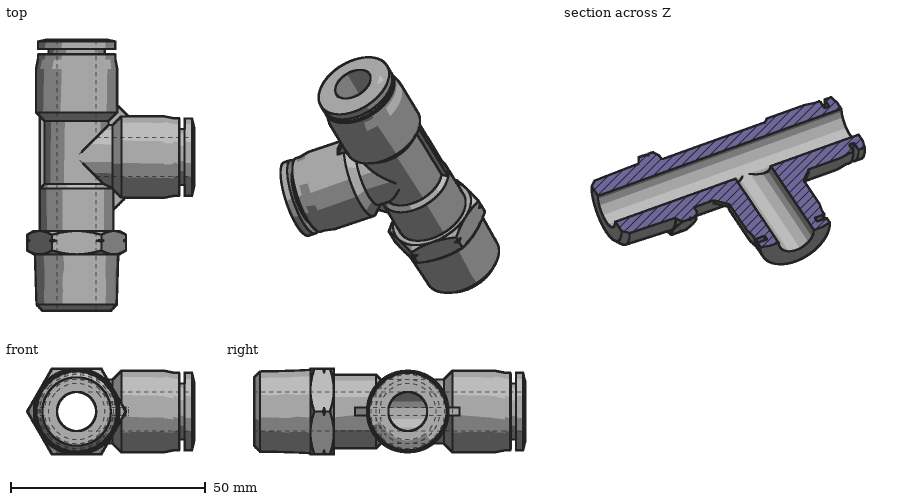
import cadquery as cq
import math


BORE_RADIUS = 5.0

NECK_RADIUS = 8.25
SOCKET_RADIUS = 10.5
SOCKET_TIP_RADIUS = 10.0
SOCKET_BEVEL_RADIUS = 9.5
THROAT_RADIUS = 7.25
COLLAR_RADIUS = 9.97
COLLAR_FACE_RADIUS = 7.5
NECK_END = 9.25
SOCKET_START = NECK_END + (SOCKET_RADIUS - NECK_RADIUS)
TAPER_START = 22.5
TAPER_END = 25.0
SOCKET_END = 26.5
SOCKET_BEVEL_LENGTH = 0.2
COLLAR_START = 27.75
PORT_LENGTH = 30.25
COLLAR_FACE_DEPTH = 0.6

BARREL_RADIUS = 9.5
BARREL_CONE_START = -6.9
BARREL_START = BARREL_CONE_START - (BARREL_RADIUS - NECK_RADIUS)
HEX_START = -19.0
HEX_LENGTH = 6.0
HEX_END = HEX_START - HEX_LENGTH
RUN_END = -39.5
THREAD_BASE_RADIUS = 10.75
THREAD_CHAMFER_LENGTH = 1.6
THREAD_CHAMFER_START = RUN_END + THREAD_CHAMFER_LENGTH
THREAD_TAPER = 1 / 16
THREAD_TIP_RADIUS = THREAD_BASE_RADIUS - (HEX_END - THREAD_CHAMFER_START) * THREAD_TAPER / 2
THREAD_FACE_RADIUS = 8.8

HEX_SIDES = 6
HEX_ACROSS_FLATS = 22.0
HEX_CHAMFER_ANGLE = 30.0
HEX_FLAT_RADIUS = HEX_ACROSS_FLATS / 2
HEX_CORNER_RADIUS = HEX_FLAT_RADIUS / math.cos(math.pi / HEX_SIDES)
HEX_CHAMFER_DEPTH = (HEX_CORNER_RADIUS - HEX_FLAT_RADIUS) * math.tan(math.radians(HEX_CHAMFER_ANGLE))
CORNER_NOTCH_Y = -21.5
CORNER_NOTCH_WIDTH = 0.5
CORNER_NOTCH_RADIUS = 12.2

WEB_THICKNESS = 2.0
RIB_TOP = 10.3
UPPER_GUSSET_REACH = 23.8
LOWER_GUSSET_REACH = 23.0
GUSSET_ROOT = BORE_RADIUS


def revolve_about_y(points):
    """Revolve a closed (radius, y) outline about the Y axis."""
    return cq.Workplane("XY").polyline(points).close().revolve(360, (0, 0, 0), (0, 1, 0))


def make_port():
    """Neck, socket and release collar along +Y, starting at the origin."""
    return revolve_about_y([
        (0, 0),
        (NECK_RADIUS, 0),
        (NECK_RADIUS, NECK_END),
        (SOCKET_RADIUS, SOCKET_START),
        (SOCKET_RADIUS, TAPER_START),
        (SOCKET_TIP_RADIUS, TAPER_END),
        (SOCKET_TIP_RADIUS, SOCKET_END - SOCKET_BEVEL_LENGTH),
        (SOCKET_BEVEL_RADIUS, SOCKET_END),
        (THROAT_RADIUS, SOCKET_END),
        (THROAT_RADIUS, COLLAR_START),
        (COLLAR_RADIUS, COLLAR_START),
        (COLLAR_RADIUS, PORT_LENGTH - COLLAR_FACE_DEPTH),
        (COLLAR_FACE_RADIUS, PORT_LENGTH),
        (0, PORT_LENGTH),
    ])


def make_threaded_end():
    """Neck, barrel and plain tapered thread body along -Y."""
    return revolve_about_y([
        (0, 0),
        (NECK_RADIUS, 0),
        (NECK_RADIUS, BARREL_CONE_START),
        (BARREL_RADIUS, BARREL_START),
        (BARREL_RADIUS, HEX_END),
        (THREAD_BASE_RADIUS, HEX_END),
        (THREAD_TIP_RADIUS, THREAD_CHAMFER_START),
        (THREAD_FACE_RADIUS, RUN_END),
        (0, RUN_END),
    ])


def make_hexagon():
    """Hexagon with corners on the X axis, both ends chamfered, corners notched."""
    prism = (
        cq.Workplane("XZ", origin=(0, HEX_START, 0))
        .polygon(HEX_SIDES, 2 * HEX_CORNER_RADIUS)
        .extrude(HEX_LENGTH)
    )
    turned_envelope = revolve_about_y([
        (0, HEX_START),
        (HEX_FLAT_RADIUS, HEX_START),
        (HEX_CORNER_RADIUS, HEX_START - HEX_CHAMFER_DEPTH),
        (HEX_CORNER_RADIUS, CORNER_NOTCH_Y + CORNER_NOTCH_WIDTH / 2),
        (CORNER_NOTCH_RADIUS, CORNER_NOTCH_Y),
        (HEX_CORNER_RADIUS, CORNER_NOTCH_Y - CORNER_NOTCH_WIDTH / 2),
        (HEX_CORNER_RADIUS, HEX_END + HEX_CHAMFER_DEPTH),
        (HEX_FLAT_RADIUS, HEX_END),
        (0, HEX_END),
    ])
    return prism.intersect(turned_envelope)


def make_web(points):
    """Flat plate centred on the XY plane."""
    return cq.Workplane("XY").polyline(points).close().extrude(WEB_THICKNESS / 2, both=True)


def make_rib():
    """Straight rib along the back of the run, flush with the barrel."""
    return make_web([
        (0, RIB_TOP),
        (-BARREL_RADIUS, RIB_TOP),
        (-BARREL_RADIUS, BARREL_START),
        (0, BARREL_START),
    ])


def make_gusset(reach, side):
    """Triangular web between run and branch; side is +1 toward +Y, -1 toward -Y."""
    return make_web([
        (GUSSET_ROOT, side * GUSSET_ROOT),
        (reach - GUSSET_ROOT, side * GUSSET_ROOT),
        (GUSSET_ROOT, side * (reach - GUSSET_ROOT)),
    ])


def make_bores():
    """Straight bore through the run and a bore from the branch mouth to meet it."""
    run_bore = (
        cq.Workplane("XZ", origin=(0, PORT_LENGTH, 0))
        .circle(BORE_RADIUS)
        .extrude(PORT_LENGTH - RUN_END)
    )
    branch_bore = cq.Workplane("YZ").circle(BORE_RADIUS).extrude(PORT_LENGTH)
    return run_bore.union(branch_bore)


run_port = make_port()
branch_port = make_port().rotate((0, 0, 0), (0, 0, 1), -90)
body = run_port.union(make_threaded_end()).union(branch_port)
body = body.union(make_hexagon()).union(make_rib())
body = body.union(make_gusset(UPPER_GUSSET_REACH, 1)).union(make_gusset(LOWER_GUSSET_REACH, -1))
result = body.cut(make_bores())